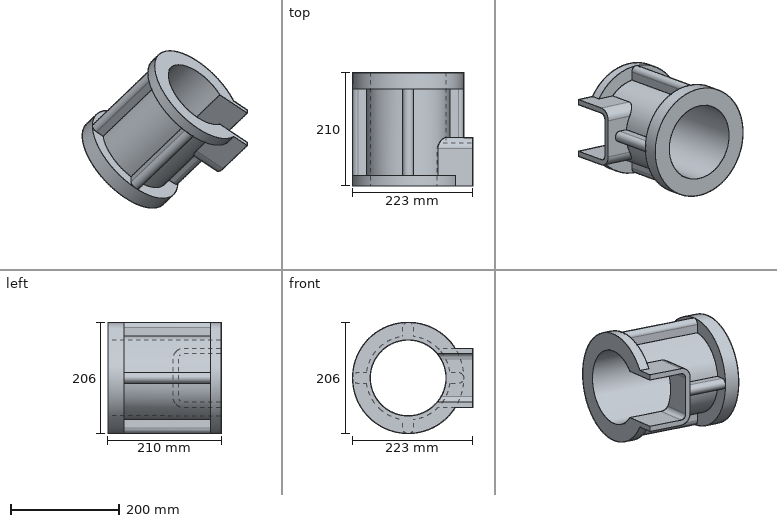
import cadquery as cq

flange_diameter = 206.0
bore_diameter = 140.0
overall_width = 223.0
overall_length = 210.0
front_flange_thickness = 20.0
back_flange_thickness = 29.9
body_diameter = 155.7
rib_width = 20.0
arm_length = 89.9
arm_height = 109.7
arm_wall = 10.0
slot_fillet = 10.0

flange_radius = flange_diameter / 2
arm_reach = overall_width - flange_radius
rib_tip_radius = rib_width / 2
arm_fillet = slot_fillet + arm_wall


def cylinder_along_y(diameter, start, length):
    """Cylinder on the bore axis, running from start towards +Y."""
    plane = cq.Workplane("XZ", origin=(0, start, 0))
    return plane.circle(diameter / 2).extrude(-length)


def make_rib(angle):
    """Radial rib with a half-round tip that reaches the flange rim."""
    tip_center = flange_radius - rib_tip_radius
    return (
        cq.Workplane("XZ")
        .moveTo(0, -rib_tip_radius)
        .lineTo(tip_center, -rib_tip_radius)
        .threePointArc((flange_radius, 0), (tip_center, rib_tip_radius))
        .lineTo(0, rib_tip_radius)
        .close()
        .extrude(-overall_length)
        .rotate((0, 0, 0), (0, 1, 0), angle)
    )


def make_arm_block(height, length, fillet):
    """Block from the bore axis to the arm end, rounded on its two back edges."""
    return (
        cq.Workplane("XY")
        .box(arm_reach, length, height, centered=(False, False, True))
        .edges("|X and >Y")
        .fillet(fillet)
    )


spool = cylinder_along_y(body_diameter, 0, overall_length)
spool = spool.union(cylinder_along_y(flange_diameter, 0, front_flange_thickness))
back_flange_start = overall_length - back_flange_thickness
spool = spool.union(cylinder_along_y(flange_diameter, back_flange_start, back_flange_thickness))
for angle in (0, 90, 180, 270):
    spool = spool.union(make_rib(angle))

arm = make_arm_block(arm_height, arm_length, arm_fillet)
slot = make_arm_block(arm_height - 2 * arm_wall, arm_length - arm_wall, slot_fillet)
bore = cylinder_along_y(bore_diameter, 0, overall_length)

result = spool.union(arm).cut(slot).cut(bore)